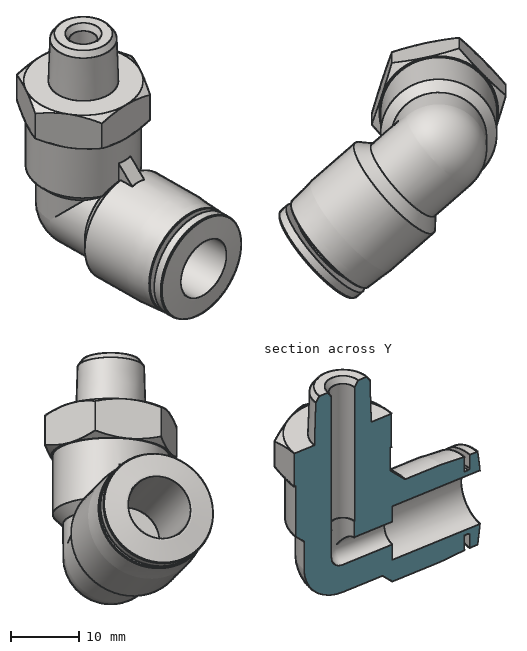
import cadquery as cq
import math


elbow_dia = 14.0
stem_dia = 17.0
stem_cone_height = (stem_dia - elbow_dia) / 2
stem_cone_start = 4.95

hex_flats = 17.46
hex_bottom = 15.47
hex_top = 21.5
hex_chamfer_angle = 30.0
hex_half_sector = 30.0

thread_base_dia = 10.27
thread_taper = 1 / 16
thread_tip_dia = 8.5
thread_chamfer_height = 0.92
stem_top = 29.95

port_dia = 17.5
port_cone_start = 7.1
port_cone_end = port_cone_start + (port_dia - elbow_dia) / 2
port_taper_start = 17.5
port_ring_start = 20.4
port_ring_dia = 17.05
port_end = 21.8
port_end_dia = 16.9
port_edge_chamfer = 0.12
neck_dia = 11.53
neck_flare_start = 22.4
neck_flare_dia = 11.8
collar_start = 22.7
collar_dia = 16.8
collar_edge_start = 24.0
collar_edge_drop = 0.1
collar_edge_end = 24.2
collar_face_dia = 10.2
port_face = 24.6

gusset_thickness = 2.5
gusset_reach = 19.88

stem_bore_dia = 4.12
elbow_bore_dia = 4.0
stem_countersink_dia = 5.35
stem_countersink_depth = 1.0
tube_dia = 9.53


def revolve_about_z(profile):
    """Solid of revolution about Z from (diameter, height) pairs, closed on the axis."""
    outline = [(dia / 2, z) for dia, z in profile]
    points = [(0, profile[0][1])] + outline + [(0, profile[-1][1])]
    return cq.Workplane("XZ").polyline(points).close().revolve(360, (0, 0), (0, 1))


def revolve_about_x(profile):
    """Solid of revolution about X from (diameter, x) pairs, closed on the axis."""
    return revolve_about_z(profile).rotate((0, 0, 0), (0, 1, 0), 90)


def mitred_elbow(dia, stem_length, port_length):
    """Two round arms of equal diameter joined by a ball at the origin."""
    stem_arm = revolve_about_z([(dia, 0), (dia, stem_length)])
    port_arm = revolve_about_x([(dia, 0), (dia, port_length)])
    return stem_arm.union(port_arm).union(cq.Workplane("XY").sphere(dia / 2))


def make_stem():
    return revolve_about_z([
        (elbow_dia, stem_cone_start),
        (stem_dia, stem_cone_start + stem_cone_height),
        (stem_dia, hex_bottom),
    ])


def make_hexagon():
    corner_dia = hex_flats / math.cos(math.radians(hex_half_sector))
    chamfer = (corner_dia - hex_flats) / 2 * math.tan(math.radians(hex_chamfer_angle))
    prism = (
        cq.Workplane("XY", origin=(0, 0, hex_bottom))
        .polygon(6, corner_dia)
        .extrude(hex_top - hex_bottom)
        .rotate((0, 0, 0), (0, 0, 1), hex_half_sector)
    )
    chamfer_envelope = revolve_about_z([
        (hex_flats, hex_bottom),
        (corner_dia, hex_bottom + chamfer),
        (corner_dia, hex_top - chamfer),
        (hex_flats, hex_top),
    ])
    return prism.intersect(chamfer_envelope)


def make_thread():
    chamfer_start = stem_top - thread_chamfer_height
    thread_end_dia = thread_base_dia - thread_taper * (chamfer_start - hex_top)
    return revolve_about_z([
        (thread_base_dia, hex_top),
        (thread_end_dia, chamfer_start),
        (thread_tip_dia, stem_top),
    ])


def make_port():
    return revolve_about_x([
        (elbow_dia, port_cone_start),
        (port_dia, port_cone_end),
        (port_dia, port_taper_start),
        (port_ring_dia, port_ring_start),
        (port_end_dia, port_end - port_edge_chamfer),
        (port_end_dia - 2 * port_edge_chamfer, port_end),
        (neck_dia, port_end),
        (neck_dia, neck_flare_start),
        (neck_flare_dia, collar_start),
        (collar_dia, collar_start),
        (collar_dia, collar_edge_start),
        (collar_dia - 2 * collar_edge_drop, collar_edge_end),
        (collar_face_dia, port_face),
    ])


def make_gusset():
    return (
        cq.Workplane("XZ")
        .polyline([(0, 0), (gusset_reach, 0), (0, gusset_reach)])
        .close()
        .extrude(gusset_thickness / 2, both=True)
        .intersect(cq.Workplane("XY").box(2 * port_taper_start, stem_dia, 2 * hex_bottom))
    )


def make_passages():
    countersink_start = stem_top - stem_countersink_depth
    stem_bore = revolve_about_z([
        (stem_bore_dia, stem_cone_start),
        (stem_bore_dia, countersink_start),
        (stem_countersink_dia, stem_top),
    ])
    tube_socket = revolve_about_x([(tube_dia, port_cone_end), (tube_dia, port_face)])
    elbow_bore = mitred_elbow(elbow_bore_dia, stem_cone_start, port_cone_end)
    return elbow_bore.union(stem_bore).union(tube_socket)


result = (
    mitred_elbow(elbow_dia, stem_cone_start, port_cone_start)
    .union(make_stem())
    .union(make_hexagon())
    .union(make_thread())
    .union(make_port())
    .union(make_gusset())
    .cut(make_passages())
)